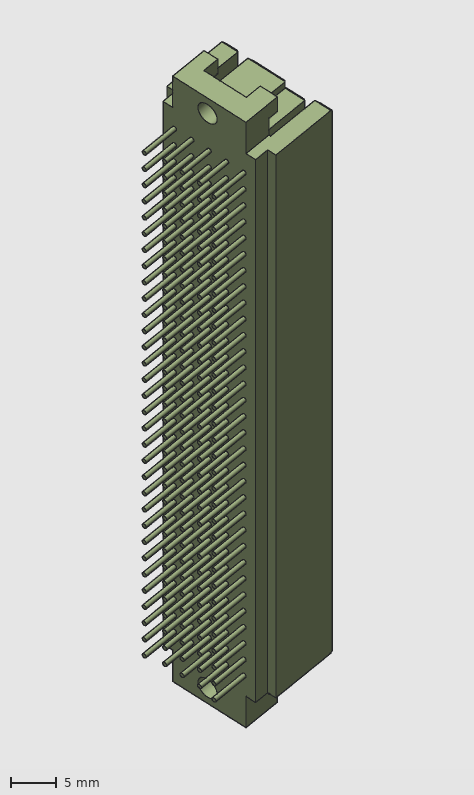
import cadquery as cq
import math

overall_length = 94.8
housing_length = 85.0
housing_width = 15.9
housing_height = 11.58

base_width = 13.5
base_step = 2.0
floor_height = 3.8
wall_thickness = 2.35
plug_width = 8.3
edge_chamfer = 0.5
outer_edge_chamfer = 0.25

key_edge_x = 1.3
key_depth = 1.0

ear_width = 10.7
hook_height = 5.2
hook_length = 2.3
hole_diameter = 2.8
hole_spacing = 90.0
mount_center_x = -0.25
slot_width = 6.2
slot_floor = 2.9
slot_neck_width = 3.2
slot_flank_angle = 60.0

pin_diameter = 0.6
pin_pitch = 2.54
pin_columns = 5
pin_rows = 32
outer_pin_length = 5.0
inner_pin_length = 4.5
pin_embed = 1.0

housing_end = housing_length / 2
ear_end = overall_length / 2
hook_inner_end = ear_end - hook_length


def box(x_min, x_max, y_min, y_max, z_min, z_max):
    """Axis-aligned block between the given limits."""
    block = cq.Workplane("XY").box(x_max - x_min, y_max - y_min, z_max - z_min, centered=False)
    return block.translate((x_min, y_min, z_min))


def mirrored_in_z(shape):
    """The shape together with its mirror image about Z = 0."""
    return shape.union(shape.mirror("XY"))


def make_base():
    """Narrow rear strip topped by the full-width floor."""
    strip = box(-base_width / 2, base_width / 2, 0, base_step, -housing_end, housing_end)
    floor = box(-housing_width / 2, housing_width / 2, base_step, floor_height, -housing_end, housing_end)
    return strip.union(floor)


def make_wall():
    """Side wall on -X, its mating rim chamfered less along the outer side."""
    outer_x = -housing_width / 2
    wall = box(outer_x, outer_x + wall_thickness, base_step, housing_height, -housing_end, housing_end)
    wall = wall.faces(">Y").edges("<X").chamfer(outer_edge_chamfer)
    return wall.faces(">Y").edges("not <X").chamfer(edge_chamfer)


def make_plug():
    """Central plug, set back at both ends beyond the polarising step."""
    half_width = plug_width / 2
    plug = box(-half_width, half_width, base_step, housing_height, -housing_end, housing_end)
    setback = box(key_edge_x, half_width, floor_height, housing_height, housing_end - key_depth, housing_end)
    plug = plug.cut(mirrored_in_z(setback))
    return plug.faces(">Y").edges().chamfer(edge_chamfer)


def make_ear():
    """Mounting ear at the +Z end: hook, tapered slot and screw hole."""
    half_width = ear_width / 2
    ear = box(-half_width, half_width, 0, floor_height, housing_end, ear_end)
    hook = box(-half_width, half_width, 0, hook_height, hook_inner_end, ear_end)

    half_slot = slot_width / 2
    half_neck = slot_neck_width / 2
    flank_length = (half_slot - half_neck) * math.tan(math.radians(slot_flank_angle))
    flank_start = housing_end + flank_length
    slot = (
        cq.Workplane("XZ", origin=(mount_center_x, slot_floor, 0))
        .polyline([
            (-half_slot, ear_end),
            (-half_slot, flank_start),
            (-half_neck, housing_end),
            (half_neck, housing_end),
            (half_slot, flank_start),
            (half_slot, ear_end),
        ])
        .close()
        .extrude(slot_floor - hook_height)
    )
    hole = (
        cq.Workplane("XZ", origin=(mount_center_x, 0, hole_spacing / 2))
        .circle(hole_diameter / 2)
        .extrude(-hook_height)
    )
    return ear.union(hook).cut(slot).cut(hole)


def make_pins():
    """Grid of round pins standing out of the rear face."""
    pins = cq.Workplane("XZ")
    last_column = pin_columns - 1
    for column in range(pin_columns):
        is_outer = column in (0, last_column)
        length = outer_pin_length if is_outer else inner_pin_length
        column_x = (column - last_column / 2) * pin_pitch
        column_pins = (
            cq.Workplane("XZ", origin=(column_x, pin_embed, 0))
            .rarray(pin_pitch, pin_pitch, 1, pin_rows)
            .circle(pin_diameter / 2)
            .extrude(pin_embed + length)
        )
        pins = pins.add(column_pins)
    return pins


wall = make_wall()
housing = make_base().union(wall).union(wall.mirror("YZ")).union(make_plug())
housing = housing.union(mirrored_in_z(make_ear()))
result = housing.union(make_pins().combine())